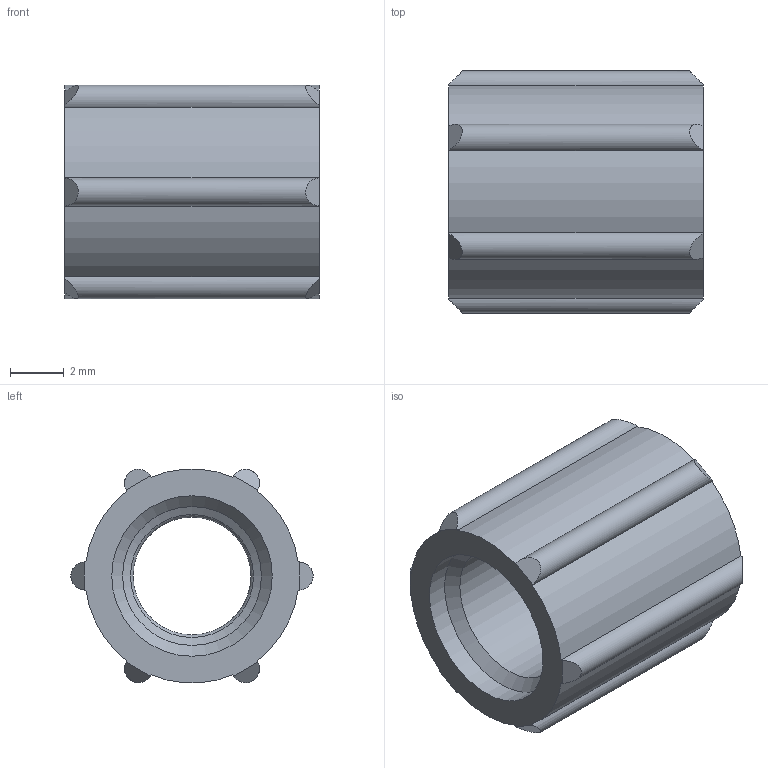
import cadquery as cq
import math

length = 9.5
body_radius = 8.0 / 2

rib_count = 6
rib_radius = 0.525
rib_center_radius = body_radius
rib_tip_radius = rib_center_radius + rib_radius
rib_chamfer = 0.5
rib_pitch_angle = 360 / rib_count

mouth_radius = 6.0 / 2
mouth_depth = 0.8
main_radius = 5.19 / 2
lip_radius = 4.4 / 2
lip_length = 1.0
lip_rounding = 0.2

mouth_cone_angle = 45
main_cone_angle = 60


def cone_length(large_radius, small_radius, wall_angle):
    """Axial length of a cone between two radii."""
    return (large_radius - small_radius) / math.tan(math.radians(wall_angle))


def make_rib():
    """Rib on the +Y side, with a flat chamfer across each end of its crest."""
    bar = (
        cq.Workplane("YZ")
        .center(rib_center_radius, 0)
        .circle(rib_radius)
        .extrude(length)
    )
    chamfer_start = rib_tip_radius - rib_chamfer
    envelope = (
        cq.Workplane("XY")
        .moveTo(0, main_radius)
        .lineTo(length, main_radius)
        .lineTo(length, chamfer_start)
        .lineTo(length - rib_chamfer, rib_tip_radius)
        .lineTo(rib_chamfer, rib_tip_radius)
        .lineTo(0, chamfer_start)
        .close()
        .extrude(rib_radius, both=True)
    )
    return bar.intersect(envelope)


def make_bore():
    """Revolved cutter: mouth, cone, main bore, cone and exit lip with a rounded inner edge."""
    main_start = mouth_depth + cone_length(mouth_radius, main_radius, mouth_cone_angle)

    slope = math.radians(main_cone_angle)
    half_slope = slope / 2
    lip_start = length - lip_length
    rounding_center_radius = lip_radius + lip_rounding
    rounding_start = lip_start - lip_rounding * math.sin(slope)
    rounding_start_radius = rounding_center_radius - lip_rounding * math.cos(slope)
    rounding_middle = lip_start - lip_rounding * math.sin(half_slope)
    rounding_middle_radius = rounding_center_radius - lip_rounding * math.cos(half_slope)

    main_end = rounding_start - cone_length(main_radius, rounding_start_radius, main_cone_angle)
    return (
        cq.Workplane("XY")
        .moveTo(0, 0)
        .lineTo(0, mouth_radius)
        .lineTo(mouth_depth, mouth_radius)
        .lineTo(main_start, main_radius)
        .lineTo(main_end, main_radius)
        .lineTo(rounding_start, rounding_start_radius)
        .threePointArc((rounding_middle, rounding_middle_radius), (lip_start, lip_radius))
        .lineTo(length, lip_radius)
        .lineTo(length, 0)
        .close()
        .revolve(360, (0, 0, 0), (1, 0, 0))
    )


sleeve = cq.Workplane("YZ").circle(body_radius).extrude(length)
rib = make_rib()
for index in range(rib_count):
    sleeve = sleeve.union(rib.rotate((0, 0, 0), (1, 0, 0), index * rib_pitch_angle))

result = sleeve.cut(make_bore())